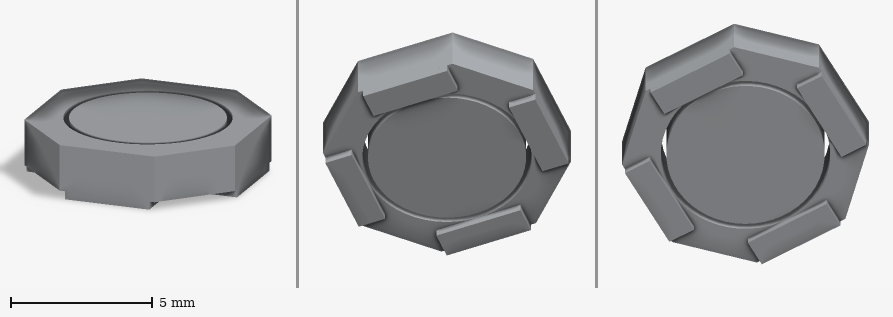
import cadquery as cq

width = 8.0
total_height = 2.0

corner_cut = 2.2
ring_bore_diameter = 6.0

core_gap = 0.2
core_diameter = ring_bore_diameter - 2 * core_gap

pad_length = 3.2
pad_depth = (width - ring_bore_diameter) / 2
pad_height = 0.3
pad_count = 4

mark_diameter = 0.8
mark_offset = 2.0
mark_depth = 0.1

body_height = total_height - pad_height


def make_ring():
    """Octagonal block with a round bore through it."""
    return (
        cq.Workplane("XY")
        .workplane(offset=pad_height)
        .rect(width, width)
        .extrude(body_height)
        .edges("|Z")
        .chamfer(corner_cut)
        .faces(">Z")
        .workplane()
        .hole(ring_bore_diameter)
    )


def make_mark():
    """Thin disc whose top lies level with the top of the core."""
    return (
        cq.Workplane("XY")
        .workplane(offset=total_height - mark_depth)
        .center(-mark_offset, 0)
        .circle(mark_diameter / 2)
        .extrude(mark_depth)
    )


def make_core(mark):
    """Plain cylinder with a recess that fits the mark."""
    return (
        cq.Workplane("XY")
        .workplane(offset=pad_height)
        .circle(core_diameter / 2)
        .extrude(body_height)
        .cut(mark)
    )


def make_pad(angle):
    """Flat pad along one side of the ring, turned about Z by the angle in degrees."""
    return (
        cq.Workplane("XY")
        .center((width - pad_depth) / 2, 0)
        .rect(pad_depth, pad_length)
        .extrude(pad_height)
        .rotate((0, 0, 0), (0, 0, 1), angle)
    )


ring = make_ring()
mark = make_mark()
core = make_core(mark)
pads = [make_pad(index * 360 / pad_count) for index in range(pad_count)]

result = cq.Compound.makeCompound(
    [ring.val(), core.val(), mark.val(), *[pad.val() for pad in pads]]
)